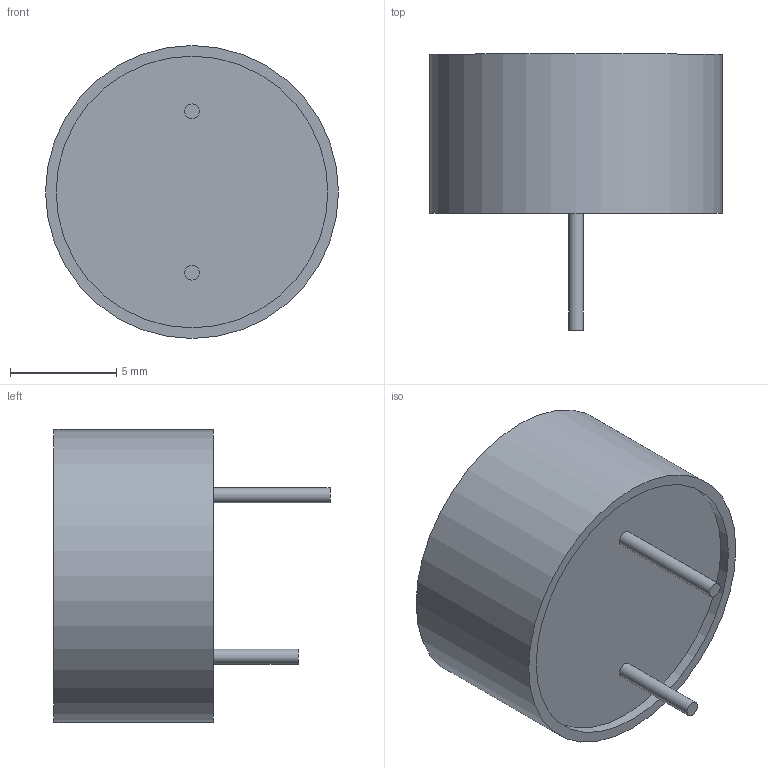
import cadquery as cq

case_diameter = 13.8
case_length = 7.5
rim_width = 0.5
recess_depth = 0.5

pin_diameter = 0.7
pin_spacing = 7.6
upper_pin_reach = 5.5
lower_pin_reach = 4.0

floor_y = recess_depth


def cylinder_along_y(diameter, start_y, end_y, z=0):
    """Solid cylinder parallel to Y between two Y positions, centred at X = 0."""
    length = end_y - start_y
    disc = cq.Workplane("XZ", origin=(0, start_y, z)).circle(diameter / 2)
    return disc.extrude(-length)


def make_case():
    """Cylindrical case with a shallow recess inside the rim."""
    case = cylinder_along_y(case_diameter, 0, case_length)
    recess = cylinder_along_y(case_diameter - 2 * rim_width, 0, floor_y)
    return case.cut(recess)


def make_pin(z, reach):
    """Straight pin standing on the recess floor."""
    return cylinder_along_y(pin_diameter, -reach, floor_y, z)


result = make_case()
for pin_z, pin_reach in ((pin_spacing / 2, upper_pin_reach), (-pin_spacing / 2, lower_pin_reach)):
    result = result.union(make_pin(pin_z, pin_reach))